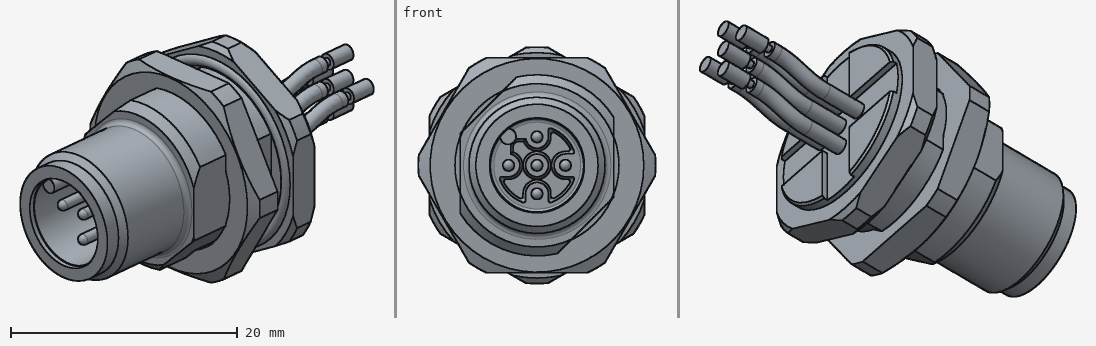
import cadquery as cq
import math


TOTAL_LENGTH = 35.85

NOSE_END = 1.4
SLEEVE_START = 1.97
BODY_FRONT = 9.5
NUT_FRONT = 13.55
NUT_REAR = 16.3
FLANGE_FRONT = 19.25
FLANGE_REAR = 21.98
REAR_END = 23.0

NOSE_DIAMETER = 10.8
SLEEVE_DIAMETER = 12.0
BODY_DIAMETER = 16.0
SLEEVE_ROOT_FILLET = 0.5
BODY_CHAMFER = 0.8
REAR_CHAMFER = 0.2
BODY_FLAT_DISTANCE = 6.78

HEX_ACROSS_FLATS = 19.0
NUT_CORNER_DIAMETER = 20.97
FLANGE_CORNER_DIAMETER = 20.9
NUT_BORE_DIAMETER = 14.5
NUT_FACE_DIAMETER = 18.85
NUT_CHAMFER_LENGTH = 0.5
FLANGE_CHAMFER = 0.5

SEAL_SECTION_RADIUS = 0.57
SEAL_PITCH_RADIUS = 8.6
SEAL_PROTRUSION = 0.35

LIP_DIAMETER = 8.4
LIP_DEPTH = 0.5
BORE_DIAMETER = 8.25
SOCKET_DEPTH = 8.0
SOCKET_FILLET = 0.3
KEY_DIAMETER = 1.4
KEY_OFFSET = 2.55
KEY_FRONT = 0.7

CONTACT_PITCH = 2.5
PIN_DIAMETER = 1.0
PIN_TIP = 2.0

POCKET_DEPTH = 1.0
POCKET_DRAFT = 13.0
POCKET_RADIUS = 3.5
POCKET_TIP_FILLET = 0.2
ISLAND_RADIUS = 1.0
KEY_POCKET_REACH = 2.33
KEY_POCKET_CORNER = 0.45

REAR_SLOT_WIDTH = 3.73
REAR_SLOT_DEPTH = 0.57
WIRE_DIAMETER = 1.5
STRAND_DIAMETER = 0.7
BEND_START = 26.35
BEND_END = 31.87
NECK_START = 32.62
NECK_END = 33.35
WIRE_RISE = 1.22

CONTACTS = [
    (0, 0),
    (CONTACT_PITCH, 0),
    (-CONTACT_PITCH, 0),
    (0, CONTACT_PITCH),
    (0, -CONTACT_PITCH),
]


def plane_at(y):
    """Workplane facing -Y at the given Y; local axes are X and Z."""
    return cq.Workplane("XZ", origin=(0, y, 0))


def cylinder(diameter, y_start, y_end, x=0, z=0):
    return plane_at(y_end).center(x, z).circle(diameter / 2).extrude(y_end - y_start)


def revolve_about_y(profile):
    return profile.close().revolve(360, (0, 0), (0, 1))


def make_body():
    """Turned shell with its four anti-rotation flats and the cross slot at the rear."""
    nose = NOSE_DIAMETER / 2
    sleeve = SLEEVE_DIAMETER / 2
    outer = BODY_DIAMETER / 2
    fillet = SLEEVE_ROOT_FILLET
    arc_inset = fillet * (1 - math.sqrt(0.5))
    shell = revolve_about_y(
        cq.Workplane("XY")
        .lineTo(nose, 0)
        .lineTo(nose, NOSE_END)
        .lineTo(sleeve, SLEEVE_START)
        .lineTo(sleeve, BODY_FRONT - fillet)
        .threePointArc(
            (sleeve + arc_inset, BODY_FRONT - arc_inset),
            (sleeve + fillet, BODY_FRONT),
        )
        .lineTo(outer - BODY_CHAMFER, BODY_FRONT)
        .lineTo(outer, BODY_FRONT + BODY_CHAMFER)
        .lineTo(outer, REAR_END - REAR_CHAMFER)
        .lineTo(outer - REAR_CHAMFER, REAR_END)
        .lineTo(0, REAR_END)
    )

    flat_length = FLANGE_FRONT - BODY_FRONT
    for angle in (0, 45, 180, 225):
        waste = (
            plane_at(FLANGE_FRONT)
            .center(-BODY_FLAT_DISTANCE - outer / 2, 0)
            .rect(outer, 2 * outer)
            .extrude(flat_length)
            .rotate((0, 0, 0), (0, 1, 0), angle)
        )
        shell = shell.cut(waste)

    for width, height in ((BODY_DIAMETER, REAR_SLOT_WIDTH), (REAR_SLOT_WIDTH, BODY_DIAMETER)):
        shell = shell.cut(plane_at(REAR_END).rect(width, height).extrude(REAR_SLOT_DEPTH))
    return shell


def hexagon(y_start, y_end, first_corner_angle):
    """Hexagonal prism; at angle 0 two of its corners lie on the X axis."""
    corner_diameter = HEX_ACROSS_FLATS / math.cos(math.pi / 6)
    return (
        plane_at(y_end)
        .polygon(6, corner_diameter)
        .extrude(y_end - y_start)
        .rotate((0, 0, 0), (0, 1, 0), first_corner_angle)
    )


def make_nut():
    """Loose hexagon nut, corners on X, chamfered on its front side only."""
    corner = NUT_CORNER_DIAMETER / 2
    envelope = revolve_about_y(
        cq.Workplane("XY")
        .moveTo(NUT_BORE_DIAMETER / 2, NUT_FRONT)
        .lineTo(NUT_FACE_DIAMETER / 2, NUT_FRONT)
        .lineTo(corner, NUT_FRONT + NUT_CHAMFER_LENGTH)
        .lineTo(corner, NUT_REAR)
        .lineTo(NUT_BORE_DIAMETER / 2, NUT_REAR)
    )
    return hexagon(NUT_FRONT, NUT_REAR, 0).intersect(envelope)


def make_flange():
    """Hexagon flange, corners on Z, with the corners chamfered on both sides."""
    envelope = cylinder(FLANGE_CORNER_DIAMETER, FLANGE_FRONT, FLANGE_REAR)
    envelope = envelope.edges().chamfer(FLANGE_CHAMFER)
    return hexagon(FLANGE_FRONT, FLANGE_REAR, 30).intersect(envelope)


def make_seal():
    center_y = FLANGE_FRONT - SEAL_PROTRUSION + SEAL_SECTION_RADIUS
    return (
        cq.Workplane("XY")
        .center(SEAL_PITCH_RADIUS, center_y)
        .circle(SEAL_SECTION_RADIUS)
        .revolve(360, (-SEAL_PITCH_RADIUS, 0), (-SEAL_PITCH_RADIUS, 1))
    )


def make_socket():
    """Volume of the mating bore: a short lip, then the bore with a rounded bottom edge."""
    bore = cylinder(BORE_DIAMETER, 0, SOCKET_DEPTH).faces(">Y").edges().fillet(SOCKET_FILLET)
    return bore.union(cylinder(LIP_DIAMETER, 0, LIP_DEPTH))


def is_pocket_tip(edge):
    """True for the edges that run up the wall at the outermost pocket corners."""
    bottom_to_face = abs(edge.endPoint().y - edge.startPoint().y)
    middle = edge.Center()
    from_axis = math.hypot(middle.x, middle.z)
    return bottom_to_face > POCKET_DEPTH / 2 and from_axis > KEY_POCKET_REACH * math.sqrt(2)


def make_pockets():
    """Volume of the drafted recesses in the insert face, between the lands of the pins."""
    floor = plane_at(SOCKET_DEPTH + POCKET_DEPTH)
    draft_shift = POCKET_DEPTH * math.tan(math.radians(POCKET_DRAFT))
    land = ISLAND_RADIUS + draft_shift
    pockets = floor.circle(POCKET_RADIUS - draft_shift).extrude(POCKET_DEPTH, taper=-POCKET_DRAFT)

    limit = KEY_POCKET_REACH - draft_shift
    quadrant = floor.center(-POCKET_RADIUS, POCKET_RADIUS).rect(2 * POCKET_RADIUS, 2 * POCKET_RADIUS)
    corner_outline = cq.Sketch().rect(2 * limit, 2 * limit).vertices().fillet(KEY_POCKET_CORNER)
    kept_corner = floor.placeSketch(corner_outline).extrude(POCKET_DEPTH, taper=-POCKET_DRAFT)
    pockets = pockets.cut(quadrant.extrude(POCKET_DEPTH).cut(kept_corner))

    pockets = pockets.cut(floor.circle(land).extrude(POCKET_DEPTH, taper=POCKET_DRAFT))
    land_end = POCKET_RADIUS + land
    petal = (
        floor.moveTo(land_end, land)
        .lineTo(CONTACT_PITCH, land)
        .threePointArc((CONTACT_PITCH - land, 0), (CONTACT_PITCH, -land))
        .lineTo(land_end, -land)
        .close()
        .extrude(POCKET_DEPTH, taper=POCKET_DRAFT)
    )
    for angle in (0, 90, 180, 270):
        pockets = pockets.cut(petal.rotate((0, 0, 0), (0, 1, 0), angle))

    tips = pockets.edges().filter(is_pocket_tip)
    return tips.fillet(POCKET_TIP_FILLET)


def make_pin(x, z):
    """Contact pin with a hemispherical tip, rooted below the pocket floor."""
    radius = PIN_DIAMETER / 2
    dome_center = PIN_TIP + radius
    dome = cq.Workplane("XZ").sphere(radius).translate((x, dome_center, z))
    return cylinder(PIN_DIAMETER, dome_center, SOCKET_DEPTH + POCKET_DEPTH, x, z).union(dome)


def make_wire(x, z):
    """Insulated wire with an upward S-bend and a short stripped neck near its end."""
    wire_root = REAR_END - 2 * REAR_SLOT_DEPTH
    raised_z = z + WIRE_RISE
    bend_path = cq.Workplane("YZ", origin=(x, 0, 0)).spline(
        [(BEND_START, z), (BEND_END, raised_z)],
        tangents=[(1, 0), (1, 0)],
    )
    bend = plane_at(BEND_START).center(x, z).circle(WIRE_DIAMETER / 2).sweep(bend_path)
    return (
        cylinder(WIRE_DIAMETER, wire_root, BEND_START, x, z)
        .union(bend)
        .union(cylinder(WIRE_DIAMETER, BEND_END, NECK_START, x, raised_z))
        .union(cylinder(STRAND_DIAMETER, NECK_START, NECK_END, x, raised_z))
        .union(cylinder(WIRE_DIAMETER, NECK_END, TOTAL_LENGTH, x, raised_z))
    )


result = make_body().union(make_nut()).union(make_flange()).union(make_seal())
result = result.cut(make_socket()).cut(make_pockets())
result = result.union(
    cylinder(KEY_DIAMETER, KEY_FRONT, SOCKET_DEPTH + POCKET_DEPTH, -KEY_OFFSET, KEY_OFFSET)
)
for contact_x, contact_z in CONTACTS:
    result = result.union(make_pin(contact_x, contact_z))
    result = result.union(make_wire(contact_x, contact_z))